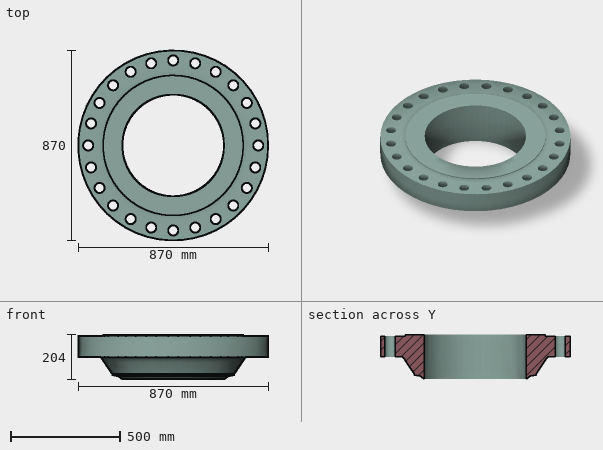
import cadquery as cq

outer_diameter = 870.0
total_height = 204.0
bore_diameter = 464.0

raised_face_diameter = 641.0
raised_face_height = 5.0
disc_thickness = 97.0

hub_root_radius = 331.5
hub_end_radius = 280.0
hub_taper_height = 76.5
hub_band_height = 6.0
hub_root_fillet = 10.5

bevel_start_radius = 251.0
weld_land_radius = 234.0
bevel_height = 13.0

bolt_count = 24
bolt_circle_diameter = 778.0
bolt_hole_diameter = 45.0

disc_top = total_height - raised_face_height
disc_bottom = disc_top - disc_thickness
taper_bottom = disc_bottom - hub_taper_height
band_bottom = taper_bottom - hub_band_height


def flange_body():
    """Revolve the half section of the flange, including the bore, about Z."""
    outer_radius = outer_diameter / 2
    bore_radius = bore_diameter / 2
    raised_face_radius = raised_face_diameter / 2
    section = [
        (bore_radius, 0),
        (weld_land_radius, 0),
        (bevel_start_radius, bevel_height),
        (hub_end_radius, band_bottom),
        (hub_end_radius, taper_bottom),
        (hub_root_radius, disc_bottom),
        (outer_radius, disc_bottom),
        (outer_radius, disc_top),
        (raised_face_radius, disc_top),
        (raised_face_radius, total_height),
        (bore_radius, total_height),
    ]
    return cq.Workplane("XZ").polyline(section).close().revolve(360, (0, 0), (0, 1))


def round_hub_root(body):
    """Fillet the inside corner where the hub meets the underside of the disc."""
    margin = 1.0
    root_zone = cq.selectors.BoxSelector(
        (-hub_root_radius - margin, -hub_root_radius - margin, disc_bottom - margin),
        (hub_root_radius + margin, hub_root_radius + margin, disc_bottom + margin),
        boundingbox=True,
    )
    return body.edges(root_zone).fillet(hub_root_fillet)


def bolt_holes():
    """Ring of cylinders passing through the disc, the first one on +X."""
    return (
        cq.Workplane("XY")
        .workplane(offset=disc_bottom)
        .polarArray(bolt_circle_diameter / 2, 0, 360, bolt_count)
        .circle(bolt_hole_diameter / 2)
        .extrude(disc_thickness)
    )


result = round_hub_root(flange_body()).cut(bolt_holes())